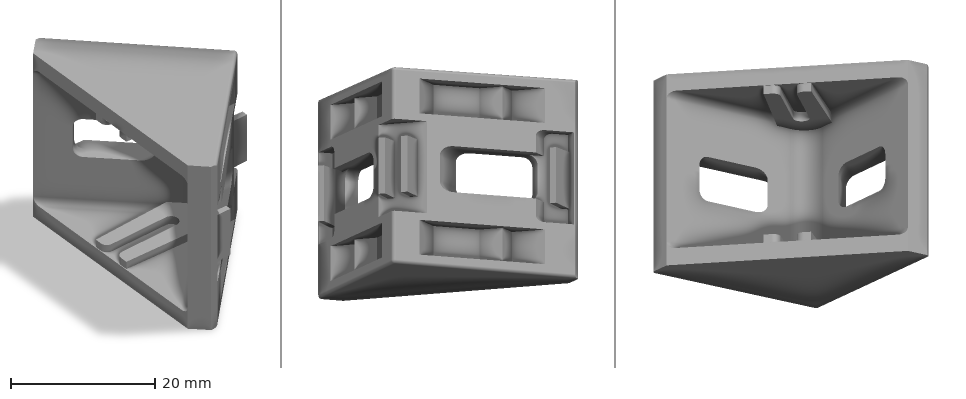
import cadquery as cq
import math


width = 38.6
height = 28.0
front_width = 33.95
end_chamfer = (width - front_width) / 2
outer_apex = 22.7
inner_apex = front_width / 2
cheek_draft = 0.4
edge_round = 0.45

cavity_height = 23.05
apex_round = 3.1
cheek_round = 1.0

slot_near = 4.98
slot_far = 13.1
slot_height = 6.5
slot_round = 1.45

tab_top = 22.6
tab_thickness = 1.1
tab_height = 8.03
tab_draft = 1.0
apex_tab_x = 1.7
end_tab_x = 17.45
end_tab_top = 6.87
end_tab_base = 1.7
recess_height = 12.97
apex_recess_floor = 19.05
end_recess_x = 15.15
end_recess_depth = 2.95
recess_floor_sum = outer_apex - end_recess_depth
end_lip = 1.35
end_recess_round = 0.93

pocket_skin = 0.7
pocket_x = 2.8
pocket_bottom = 6.55
pocket_step = 3.4
pocket_height = 4.9
pocket_z = 9.95

rib_height = 1.25
rib_draft = 0.9
rib_front = 0.1
rib_front_half_width = 3.35
rib_back_half_width = 3.85
rib_gap_half_width = 1.15
rib_gap_center = 10.8
rib_tip_round = 1.1
cheek_embed = 0.77


def prism(points, z_height):
    """Extrude an XY outline, centred on Z = 0."""
    return cq.Workplane("XY").polyline(points).close().extrude(z_height / 2, both=True)


def drafted_slab(z_height, angle):
    """A full-width slab whose Z faces lean in by an angle towards +Y."""
    half_front = z_height / 2
    half_back = half_front - outer_apex * math.tan(math.radians(angle))
    outline = [(0, -half_front), (outer_apex, -half_back), (outer_apex, half_back), (0, half_front)]
    return cq.Workplane("YZ").polyline(outline).close().extrude(width / 2, both=True)


def both_sides(solid):
    """Join a solid with its mirror image in X."""
    return solid.union(solid.mirror("YZ"))


def outer_body():
    half = width / 2
    outline = [
        (-front_width / 2, 0),
        (front_width / 2, 0),
        (half, end_chamfer),
        (half, outer_apex - half),
        (0, outer_apex),
        (-half, outer_apex - half),
        (-half, end_chamfer),
    ]
    body = prism(outline, height).intersect(drafted_slab(height, cheek_draft))
    slopes = body.faces(cq.selectors.DirectionMinMaxSelector(cq.Vector(1, 1, 0)))
    slopes = slopes.add(body.faces(cq.selectors.DirectionMinMaxSelector(cq.Vector(-1, 1, 0))))
    rim = slopes.edges("not |Z")
    apex = body.edges("|Z").edges(">Y")
    return body.newObject(rim.vals() + apex.vals()).fillet(edge_round)


def cavity():
    outline = [(-front_width / 2, 0), (front_width / 2, 0), (0, inner_apex)]
    space = prism(outline, cavity_height).intersect(drafted_slab(cavity_height, cheek_draft))
    space = space.edges("|Z").edges(">Y").fillet(apex_round)
    return space.edges("not <Y").fillet(cheek_round)


def ribs():
    """U-shaped ribs standing on both cheeks, open towards the front."""
    outline = [
        (-rib_front_half_width, rib_front),
        (rib_front_half_width, rib_front),
        (rib_back_half_width, inner_apex - rib_back_half_width),
        (0, inner_apex),
        (-rib_back_half_width, inner_apex - rib_back_half_width),
    ]
    gap = (
        cq.Workplane("XY")
        .moveTo(-rib_gap_half_width, 0)
        .lineTo(-rib_gap_half_width, rib_gap_center)
        .threePointArc((0, rib_gap_center + rib_gap_half_width), (rib_gap_half_width, rib_gap_center))
        .lineTo(rib_gap_half_width, 0)
        .close()
    )
    plate = prism(outline, cavity_height + 2 * cheek_embed)
    plate = plate.cut(gap.extrude(height, both=True))
    inner_tips = cq.selectors.BoxSelector(
        (-rib_front_half_width + rib_tip_round, 0, -height),
        (rib_front_half_width - rib_tip_round, 2 * rib_front, height),
    )
    plate = plate.edges("|Z").edges(inner_tips).fillet(rib_tip_round)
    return plate.cut(drafted_slab(cavity_height - 2 * rib_height, rib_draft))


def slot_block(length, start, rounded_edges):
    """A bar along +Y from the XZ plane, starting at X = start, with one rounded end."""
    bar = (
        cq.Workplane("XZ")
        .center(start + length / 2, 0)
        .rect(length, slot_height)
        .extrude(-outer_apex)
    )
    return bar.edges("|Y").edges(rounded_edges).fillet(slot_round)


def bolt_slot():
    """Slot whose near end runs along Y and whose far end is square to the wall."""
    near_end = slot_block(slot_far - slot_near - slot_round, slot_near, "<X")
    half_span = (slot_far - slot_near) / math.sqrt(2)
    middle_x = (slot_near + slot_far) / 2
    far_end = (
        slot_block(half_span + slot_round, -slot_round, ">X")
        .rotate((0, 0, 0), (0, 0, 1), -45)
        .translate((middle_x, inner_apex - middle_x, 0))
    )
    inner_side = prism([(0, 0), (inner_apex, 0), (0, inner_apex)], height)
    passage = prism(
        [
            (middle_x, recess_floor_sum - middle_x),
            (end_recess_x, recess_floor_sum - end_recess_x),
            (end_recess_x, outer_apex - end_recess_x),
            (middle_x, outer_apex - middle_x),
        ],
        slot_height,
    )
    return near_end.cut(inner_side).union(far_end).union(passage)


def end_recess():
    """Recess around an end tab: floor parallel to the wall, upper side along Y."""
    lip_edge = front_width / 2 - end_lip
    floor_end_x = (recess_floor_sum + lip_edge) / 2
    rim_end_x = floor_end_x + end_recess_depth / 2
    outline = [
        (end_recess_x, recess_floor_sum - end_recess_x),
        (floor_end_x, recess_floor_sum - floor_end_x),
        (rim_end_x, outer_apex - rim_end_x),
        (rim_end_x, outer_apex),
        (end_recess_x, outer_apex),
    ]
    recess = prism(outline, recess_height)
    return recess.edges("|Y").edges("<X").fillet(end_recess_round)


def apex_recess():
    """Recess across the apex, with a flat floor."""
    depth = outer_apex - apex_recess_floor
    return cq.Workplane("XY").box(2 * depth, depth, recess_height).translate(
        (0, apex_recess_floor + depth / 2, 0)
    )


def stepped_pocket():
    """Pocket with a sloping floor that climbs one step towards the end of the wall."""
    floor_sum = inner_apex + pocket_skin
    step_y = pocket_bottom + pocket_step
    outline = [
        (pocket_x, outer_apex - pocket_x),
        (pocket_x, floor_sum - pocket_x),
        (floor_sum - step_y, step_y),
        (floor_sum - pocket_bottom, step_y),
        (floor_sum - pocket_bottom, pocket_bottom),
        (outer_apex - pocket_bottom, pocket_bottom),
    ]
    pocket = prism(outline, pocket_height).translate((0, 0, pocket_z))
    return pocket.union(pocket.mirror("XY"))


def tab(x, base_y, top_y):
    """Locating tab rising along +Y, tapering towards its top."""
    return (
        cq.Workplane("XZ", origin=(x, base_y, 0))
        .rect(tab_thickness, tab_height)
        .extrude(base_y - top_y, taper=tab_draft)
    )


result = outer_body().cut(cavity()).union(ribs())
for cutter in (bolt_slot(), end_recess(), stepped_pocket()):
    result = result.cut(both_sides(cutter))
result = result.cut(apex_recess())
result = result.union(both_sides(tab(apex_tab_x, apex_recess_floor, tab_top)))
result = result.union(both_sides(tab(end_tab_x, end_tab_base, end_tab_top)))